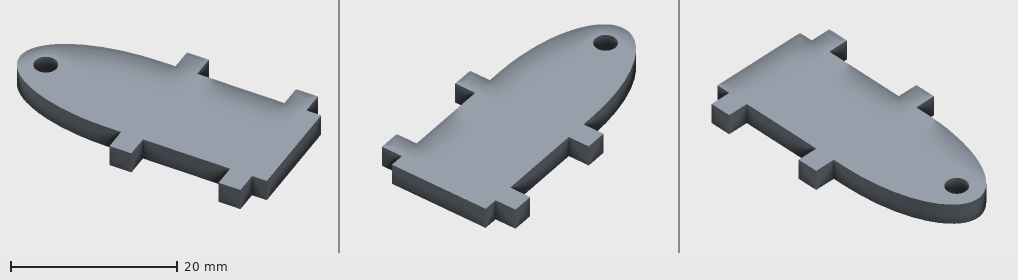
import cadquery as cq

length = 37.3
overall_width = 20.0
thickness = 3.0
tab_size = 3.0
tab_margin = 2.0
nose_length = 15.45
hole_diameter = 3.0
hole_offset = 3.5

body_width = overall_width - 2 * tab_size
half_width = body_width / 2
bottom_z = -thickness / 2
nose_tip_x = -length / 2
back_x = length / 2
nose_end_x = nose_tip_x + nose_length
body_length = length - nose_length
front_tab_x = nose_end_x + tab_margin + tab_size / 2
rear_tab_x = back_x - tab_margin - tab_size / 2


def make_body():
    """Flat plate with a half-elliptical nose towards -X."""
    nose = (
        cq.Workplane("XY", origin=(0, 0, bottom_z))
        .center(nose_end_x, 0)
        .ellipse(nose_length, half_width)
        .extrude(thickness)
    )
    nose_space = cq.Workplane("XY").box(nose_length, body_width, thickness)
    nose = nose.intersect(nose_space.translate((nose_end_x - nose_length / 2, 0, 0)))
    plate = cq.Workplane("XY").box(body_length, body_width, thickness)
    return nose.union(plate.translate((nose_end_x + body_length / 2, 0, 0)))


def make_tab_pair(tab_x):
    """Crossbar whose ends stand out of both sides as square tabs."""
    return cq.Workplane("XY").box(tab_size, overall_width, thickness).translate((tab_x, 0, 0))


result = make_body()
for tab_x in (front_tab_x, rear_tab_x):
    result = result.union(make_tab_pair(tab_x))

hole = (
    cq.Workplane("XY", origin=(0, 0, bottom_z))
    .center(nose_tip_x + hole_offset, 0)
    .circle(hole_diameter / 2)
    .extrude(thickness)
)
result = result.cut(hole).clean()